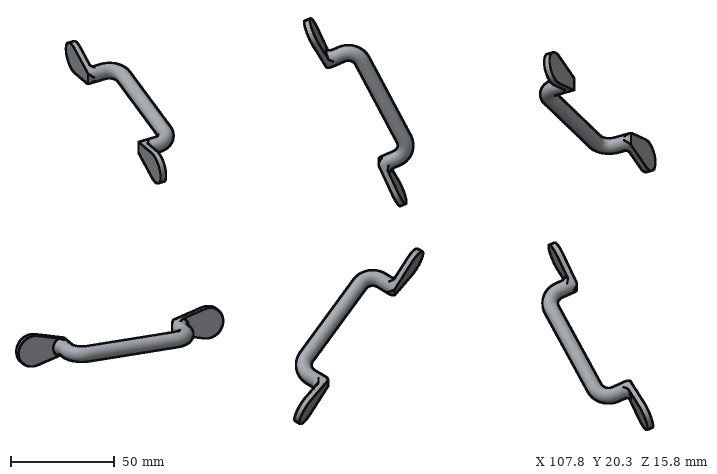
import cadquery as cq
import math

length = 107.8
depth = 20.3

bar_radius = 7.7 / 2
bend_radius = 7.5
leg_x = 30.7
bow_y = depth - bar_radius

foot_radius = 7.9
foot_thickness = 3.0
foot_x = length / 2 - foot_radius

flare_radius = 3.0
flare_top_y = 5.4
heel_radius = 5.0
heel_x = 28.8


def foot_outline(height):
    """Teardrop prism: a large and a small circle joined by their common tangents."""
    tilt = math.asin((foot_radius - bar_radius) / (foot_x - leg_x))

    def tangent_point(center_x, radius, side):
        return center_x - radius * math.sin(tilt), side * radius * math.cos(tilt)

    return (
        cq.Workplane("XZ")
        .moveTo(*tangent_point(foot_x, foot_radius, -1))
        .lineTo(*tangent_point(leg_x, bar_radius, -1))
        .threePointArc((leg_x - bar_radius, 0), tangent_point(leg_x, bar_radius, 1))
        .lineTo(*tangent_point(foot_x, foot_radius, 1))
        .threePointArc((foot_x + foot_radius, 0), tangent_point(foot_x, foot_radius, -1))
        .close()
        .extrude(-height)
    )


def flare():
    """Concave collar around the leg, trimmed to the width of the foot."""
    drop = flare_top_y - foot_thickness

    def profile_point(below_top):
        growth = flare_radius - math.sqrt(flare_radius**2 - below_top**2)
        return leg_x + bar_radius + growth, flare_top_y - below_top

    collar = (
        cq.Workplane("XY")
        .moveTo(leg_x, foot_thickness)
        .lineTo(*profile_point(drop))
        .threePointArc(profile_point(drop / 2), profile_point(0))
        .lineTo(leg_x, flare_top_y)
        .close()
        .revolve(360, (leg_x, 0, 0), (leg_x, 1, 0))
    )
    return collar.intersect(foot_outline(flare_top_y))


def heel_cut():
    """Waste outside the arc that rounds the inner side of the leg into the flat face."""
    inner_x = leg_x - bar_radius
    center_x = inner_x + heel_radius

    def rise(x):
        return math.sqrt(heel_radius**2 - (center_x - x) ** 2)

    center_y = rise(heel_x)
    middle_x = (inner_x + heel_x) / 2
    return (
        cq.Workplane("XY")
        .moveTo(heel_x, 0)
        .threePointArc((middle_x, center_y - rise(middle_x)), (inner_x, center_y))
        .lineTo(inner_x, 0)
        .close()
        .extrude(bar_radius, both=True)
    )


def bow():
    """Round bar swept from the back of one foot to the back of the other."""
    bend_x = leg_x - bend_radius
    bend_y = bow_y - bend_radius
    diagonal = bend_radius * math.sqrt(0.5)
    path = (
        cq.Workplane("XY")
        .moveTo(leg_x, foot_thickness)
        .lineTo(leg_x, bend_y)
        .threePointArc((bend_x + diagonal, bend_y + diagonal), (bend_x, bow_y))
        .lineTo(-bend_x, bow_y)
        .threePointArc((-bend_x - diagonal, bend_y + diagonal), (-leg_x, bend_y))
        .lineTo(-leg_x, foot_thickness)
    )
    return cq.Workplane("XZ", origin=(leg_x, foot_thickness, 0)).circle(bar_radius).sweep(path)


foot = foot_outline(foot_thickness)
collar = flare()
heel = heel_cut()
result = bow().union(foot).union(foot.mirror("YZ"))
result = result.union(collar).union(collar.mirror("YZ"))
result = result.cut(heel).cut(heel.mirror("YZ"))